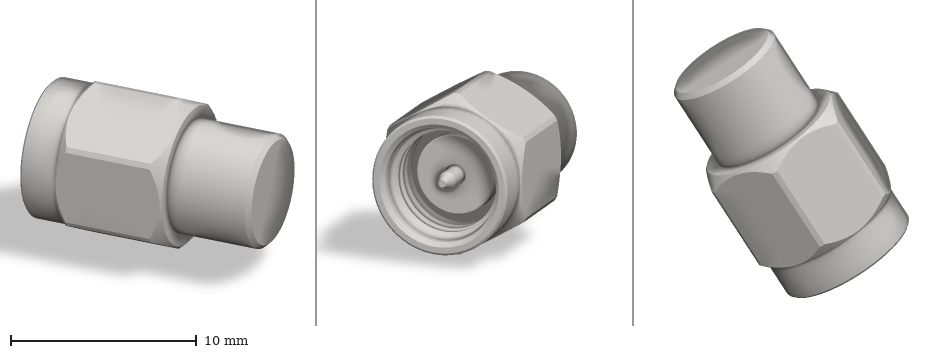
import cadquery as cq
import math


total_length = 13.21

collar_diameter = 7.76
collar_chamfer = 0.13
nut_start = 2.05
nut_end = 8.38
across_flats = 7.94
across_corners = 8.99
nut_chamfer_length = 0.69

barrel_diameter = 6.35
barrel_chamfer = 0.26

thread_major_diameter = 6.35
thread_minor_diameter = 5.56
thread_pitch = 25.4 / 36
thread_half_angle = math.radians(30)
thread_root_width = thread_pitch / 8
mouth_diameter = 6.84
mouth_chamfer_length = 0.25
relief_length = 0.50
lead_in_length = 0.40
bore_depth = 3.6
root_clearance = 0.01
thread_start_x = mouth_chamfer_length
thread_start_angle = 160.0
thread_overrun = 0.1

boss_diameter = 4.45
boss_face_x = 2.54
boss_edge_radius = 0.11
well_diameter = 1.19
well_depth = 0.5
pin_diameter = 0.94
pin_tip_diameter = 0.42
pin_tip_length = 0.78
pin_tip_x = 0.5


def revolve_about_axis(points):
    """Spin a closed (x, radius) outline around the X axis."""
    return cq.Workplane("XY").polyline(points).close().revolve(360, (0, 0, 0), (1, 0, 0))


def make_nut():
    """Hexagon with two flats facing +Y and -Y, turned down at the corners and both ends."""
    nut_length = nut_end - nut_start
    hexagon = (
        cq.Workplane("YZ", origin=(nut_start, 0, 0))
        .polygon(6, across_flats / math.cos(math.radians(30)))
        .extrude(nut_length)
        .rotate((0, 0, 0), (1, 0, 0), 30)
    )
    end_radius = collar_diameter / 2
    corner_radius = across_corners / 2
    turned_blank = revolve_about_axis([
        (nut_start, 0),
        (nut_start, end_radius),
        (nut_start + nut_chamfer_length, corner_radius),
        (nut_end - nut_chamfer_length, corner_radius),
        (nut_end, end_radius),
        (nut_end, 0),
    ])
    return hexagon.intersect(turned_blank)


def make_collar():
    """Round collar ahead of the hexagon, with its front edge chamfered."""
    collar = cq.Workplane("YZ").circle(collar_diameter / 2).extrude(nut_end)
    return collar.faces("<X").chamfer(collar_chamfer)


def make_barrel():
    """Plain cylinder behind the hexagon, with its rear edge chamfered."""
    barrel = (
        cq.Workplane("YZ", origin=(nut_start, 0, 0))
        .circle(barrel_diameter / 2)
        .extrude(total_length - nut_start)
    )
    return barrel.faces(">X").chamfer(barrel_chamfer)


def make_bore():
    """Cavity with a chamfered mouth, a plain relief and a lead-in cone down to the minor diameter."""
    major_radius = thread_major_diameter / 2
    minor_radius = thread_minor_diameter / 2
    relief_end = mouth_chamfer_length + relief_length
    return revolve_about_axis([
        (0, 0),
        (0, mouth_diameter / 2),
        (mouth_chamfer_length, major_radius),
        (relief_end, major_radius),
        (relief_end + lead_in_length, minor_radius),
        (bore_depth, minor_radius),
        (bore_depth, 0),
    ])


def make_thread_groove():
    """Right-hand V groove that starts in the relief and is cut off flat at the bore floor."""
    root_radius = thread_major_diameter / 2 - root_clearance
    inner_radius = thread_minor_diameter / 2 - thread_overrun
    half_root = thread_root_width / 2
    half_mouth = half_root + (root_radius - inner_radius) * math.tan(thread_half_angle)
    groove_length = bore_depth + half_mouth - thread_start_x
    helix = cq.Wire.makeHelix(thread_pitch, groove_length, root_radius)
    groove = (
        cq.Workplane("XZ")
        .polyline([
            (inner_radius, -half_mouth),
            (root_radius, -half_root),
            (root_radius, half_root),
            (inner_radius, half_mouth),
        ])
        .close()
        .sweep(cq.Workplane(obj=helix), isFrenet=True)
    )
    placed_groove = (
        groove.rotate((0, 0, 0), (0, 0, 1), thread_start_angle)
        .rotate((0, 0, 0), (0, 1, 0), 90)
        .translate((thread_start_x, 0, 0))
    )
    cavity_limit = cq.Workplane("YZ").circle(collar_diameter / 2).extrude(bore_depth)
    return placed_groove.intersect(cavity_limit)


def make_boss():
    """Boss on the bore floor with a rounded front edge."""
    boss = (
        cq.Workplane("YZ", origin=(bore_depth, 0, 0))
        .circle(boss_diameter / 2)
        .extrude(boss_face_x - bore_depth)
    )
    return boss.faces("<X").edges().fillet(boss_edge_radius)


def make_well():
    """Round clearance well around the pin."""
    return (
        cq.Workplane("YZ", origin=(boss_face_x, 0, 0))
        .circle(well_diameter / 2)
        .extrude(well_depth)
    )


def make_pin():
    """Center pin with a blunt conical tip, rooted on the well floor."""
    pin_end = boss_face_x + well_depth
    return revolve_about_axis([
        (pin_tip_x, 0),
        (pin_tip_x, pin_tip_diameter / 2),
        (pin_tip_x + pin_tip_length, pin_diameter / 2),
        (pin_end, pin_diameter / 2),
        (pin_end, 0),
    ])


shell = make_collar().union(make_nut()).union(make_barrel())
threaded_shell = shell.cut(make_bore()).cut(make_thread_groove())
result = threaded_shell.union(make_boss()).cut(make_well()).union(make_pin())